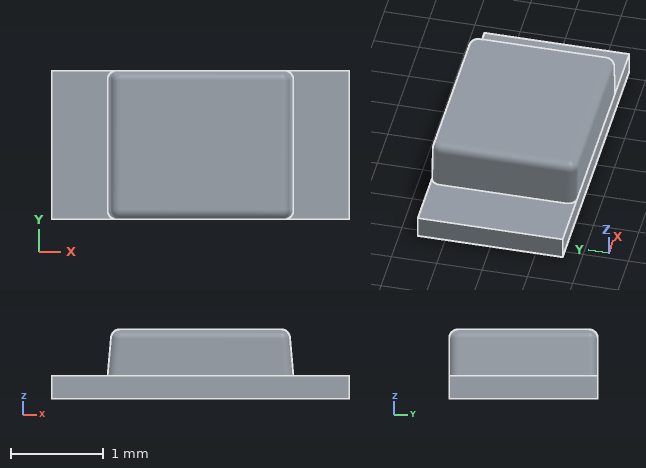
import cadquery as cq
import math

BOARD_LENGTH = 3.2
BOARD_WIDTH = BOARD_LENGTH / 2
BOARD_THICKNESS = 0.25

LENS_BASE_LENGTH = 2.0
LENS_HEIGHT = 0.5
END_DRAFT_DEGREES = 5.0
EDGE_RADIUS = 0.1


def make_board():
    return cq.Workplane("XY").box(
        BOARD_LENGTH, BOARD_WIDTH, BOARD_THICKNESS, centered=(True, True, False)
    )


def make_lens():
    """Trapezoid block with its end corners and top edges rounded."""
    end_inset = LENS_HEIGHT * math.tan(math.radians(END_DRAFT_DEGREES))
    base_half = LENS_BASE_LENGTH / 2
    top_half = base_half - end_inset
    lens_top = BOARD_THICKNESS + LENS_HEIGHT
    profile = [
        (-base_half, BOARD_THICKNESS),
        (base_half, BOARD_THICKNESS),
        (top_half, lens_top),
        (-top_half, lens_top),
    ]
    block = cq.Workplane("XZ").polyline(profile).close().extrude(BOARD_WIDTH / 2, both=True)
    return block.edges("not(<Z)").fillet(EDGE_RADIUS)


board = make_board()
lens = make_lens()

result = cq.Compound.makeCompound([board.val(), lens.val()])